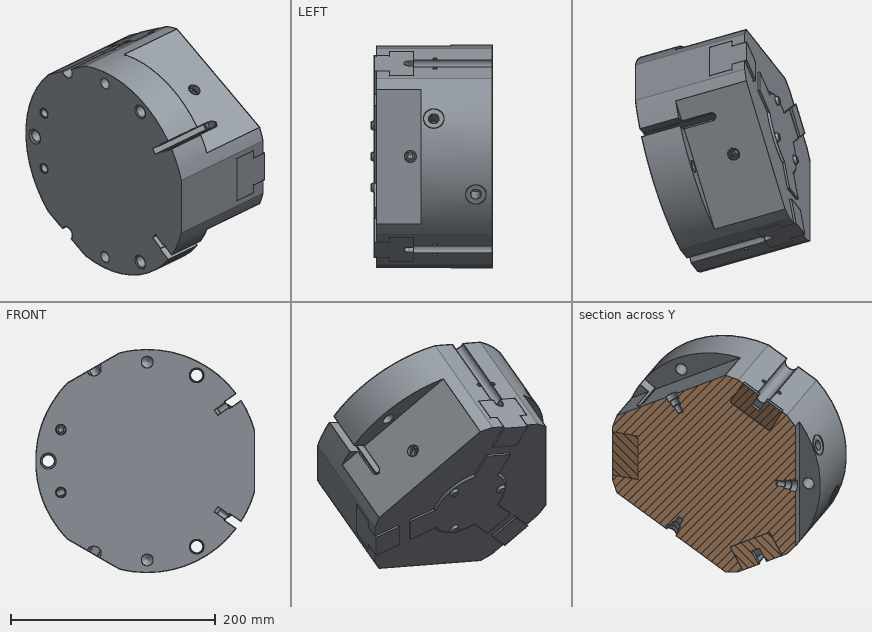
import cadquery as cq
import math


body_radius = 109.0
body_length = 113.3
jaw_angles = (0, 120, 240)
jaw_flat_distance = 105.0
relief_angles = (60, 180, 300)
relief_flat_distance = 87.0
relief_start = {60: 40.2, 180: 69.8, 300: 40.2}

back_end = 115.4
plate_base_radius = 42.4
plate_top_radius = 40.0
arm_outer_end = 66.4
overall_length = 118.3
head_circle_radius = 35.0
head_base_diameter = 10.0
head_top_diameter = 6.6

jaw_inner_end = 78.5
neck_width = 30.0
flange_width = 47.0
flange_start = 77.0
flange_end = 100.2

groove_angles = (120, 240)
groove_radius = 6.9
groove_center_depth = 1.0
jaw_slot_width = 9.3
jaw_slot_end = 86.2
jaw_slot_depth = 15.0
side_hole_diameter = 4.0
side_hole_spacing = 18.1
side_hole_y = 56.0
side_hole_depth = 6.0

through_circle_radius = 96.6
through_diameter = 12.0
through_chamfer = {60: 1.2, 180: 1.8, 300: 1.2}
blind_hole_angles = (90, 270)
blind_hole_diameter = 11.5
blind_hole_depth = 20.0
drill_tip_angle = 118.0
front_port_circle_radius = 89.7
front_port_diameter = 10.2
front_port_bore_depth = 1.0
relief_port_diameter = 11.6
relief_port_bore_depth = 6.0
relief_port_y = 80.0
relief_port_core_depth = 20.0
port_thread_diameter = 8.6
port_thread_depth = 12.0
port_core_diameter = 5.4

air_ports = ((160, 57.2), (200, 16.1))
spotface_diameter = 20.0
spotface_distance = 108.0
air_hole_diameter = 10.0
air_hole_depth = 22.0

sensor_angles = (35, -35)
slot_round_center_y = 70.0
wide_slot_width = 8.4
wide_slot_inner = 95.5
narrow_slot_width = 6.2
narrow_slot_inner = 85.6
tail_inner = 82.1

cut_margin = 5.0
outside_radius = body_radius + cut_margin


def turn(shape, angle):
    """Rotate a shape built along +X to its angle about Y."""
    return shape.rotate((0, 0, 0), (0, 1, 0), -angle)


def radial_block(r_inner, r_outer, width, y_start, y_end):
    """Block along +X, centred on z = 0."""
    size = (r_outer - r_inner, y_end - y_start, width)
    return cq.Workplane("XY").box(*size, centered=(False, False, True)).translate((r_inner, y_start, 0))


def cylinder_y(diameter, y_start, y_end):
    """Cylinder along Y, on the main axis."""
    return cq.Workplane("XZ", origin=(0, y_start, 0)).circle(diameter / 2).extrude(y_start - y_end)


def cylinder_x(diameter, x_start, x_end, y):
    """Cylinder along X, at a height y."""
    return cq.Workplane("YZ", origin=(x_start, y, 0)).circle(diameter / 2).extrude(x_end - x_start)


def cone_y(start_diameter, end_diameter, y_start, y_end):
    """Cone or truncated cone along Y, on the main axis."""
    return cq.Workplane(cq.Solid.makeCone(start_diameter / 2, end_diameter / 2, y_end - y_start,
                                          cq.Vector(0, y_start, 0), cq.Vector(0, 1, 0)))


def stepped_port(bore_diameter, bore_depth, core_depth):
    """Threaded port cutter along +Y from y = 0, narrowing in three steps."""
    port = cylinder_y(bore_diameter, 0, bore_depth)
    port = port.union(cylinder_y(port_thread_diameter, 0, port_thread_depth))
    return port.union(cylinder_y(port_core_diameter, 0, core_depth))


def jaw_blank():
    """T-shaped jaw along +X."""
    flange = radial_block(jaw_inner_end, jaw_flat_distance, flange_width, flange_start, flange_end)
    neck = radial_block(jaw_inner_end, jaw_flat_distance, neck_width, flange_end, back_end)
    return flange.union(neck)


def make_jaw(angle):
    """One jaw in place, with a cable slot where a groove leads up to it."""
    jaw = jaw_blank()
    if angle in groove_angles:
        jaw = jaw.cut(round_ended_slot(jaw_flat_distance - jaw_slot_depth, jaw_slot_width,
                                       jaw_slot_end - jaw_slot_width / 2))
    return turn(jaw, angle)


def round_ended_slot(r_inner, width, center_y):
    """Radial slot from the front face, with a half-round end about y = center_y."""
    slot = radial_block(r_inner, outside_radius, width, 0, center_y)
    return slot.union(cylinder_x(width, r_inner, outside_radius, center_y))


def cut_jaw_flats(housing):
    """Full-length flats that the jaws end on."""
    flat = radial_block(jaw_flat_distance, outside_radius, 2 * body_radius, 0, body_length)
    for angle in jaw_angles:
        housing = housing.cut(turn(flat, angle))
    return housing


def cut_reliefs(housing):
    """Flats behind the three through holes."""
    for angle in relief_angles:
        relief = radial_block(relief_flat_distance, outside_radius, 2 * body_radius,
                              relief_start[angle], body_length)
        housing = housing.cut(turn(relief, angle))
    return housing


def add_back_plate(housing):
    """Raised disc with its arms, and the three screw heads between the jaws."""
    disc = cone_y(2 * plate_base_radius, 2 * plate_top_radius, body_length, back_end)
    housing = housing.union(disc)

    arm = radial_block(0, arm_outer_end, neck_width, body_length, back_end)
    for angle in jaw_angles:
        housing = housing.union(turn(arm, angle))

    head_foot = cylinder_y(head_base_diameter, body_length, back_end)
    head = head_foot.union(cone_y(head_base_diameter, head_top_diameter, back_end, overall_length))
    head = head.translate((head_circle_radius, 0, 0))
    for angle in relief_angles:
        housing = housing.union(turn(head, angle))
    return housing


def cut_jaw_guides(housing):
    """Recesses that fit the jaws."""
    for angle in jaw_angles:
        housing = housing.cut(turn(jaw_blank(), angle))
    return housing


def cut_cable_grooves(housing):
    """Round-bottomed grooves below two of the jaws, with a small hole on either side."""
    groove_center = jaw_flat_distance - groove_center_depth
    groove_bottom = cylinder_y(2 * groove_radius, 0, flange_start).translate((groove_center, 0, 0))
    cutter = radial_block(groove_center, outside_radius, 2 * groove_radius, 0, flange_start)
    cutter = cutter.union(groove_bottom)
    hole = cylinder_x(side_hole_diameter, jaw_flat_distance - side_hole_depth, outside_radius, side_hole_y)
    for side in (-1, 1):
        cutter = cutter.union(hole.translate((0, 0, side * side_hole_spacing / 2)))
    for angle in groove_angles:
        housing = housing.cut(turn(cutter, angle))
    return housing


def cut_front_holes(housing):
    """Through holes, blind holes and threaded ports in the front face."""
    for angle in relief_angles:
        chamfer = through_chamfer[angle]
        mouth = cone_y(through_diameter + 2 * chamfer, through_diameter, 0, chamfer)
        hole = cylinder_y(through_diameter, 0, body_length).union(mouth)
        housing = housing.cut(turn(hole.translate((through_circle_radius, 0, 0)), angle))

    tip_length = blind_hole_diameter / 2 / math.tan(math.radians(drill_tip_angle / 2))
    tip = cone_y(blind_hole_diameter, 0, blind_hole_depth, blind_hole_depth + tip_length)
    blind_hole = cylinder_y(blind_hole_diameter, 0, blind_hole_depth).union(tip)
    for angle in blind_hole_angles:
        housing = housing.cut(turn(blind_hole.translate((through_circle_radius, 0, 0)), angle))

    for angle, air_hole_y in air_ports:
        port = stepped_port(front_port_diameter, front_port_bore_depth, air_hole_y)
        housing = housing.cut(turn(port.translate((front_port_circle_radius, 0, 0)), angle))
    return housing


def cut_relief_ports(housing):
    """Threaded port in the middle of each relief flat."""
    port = stepped_port(relief_port_diameter, relief_port_bore_depth, relief_port_core_depth)
    port = port.rotate((0, 0, 0), (0, 0, 1), 90)
    port = port.translate((relief_flat_distance, relief_port_y, 0))
    for angle in relief_angles:
        housing = housing.cut(turn(port, angle))
    return housing


def cut_air_ports(housing):
    """Spotfaced radial holes in the cylinder."""
    for angle, y in air_ports:
        spotface = cylinder_x(spotface_diameter, spotface_distance, outside_radius, y)
        hole = cylinder_x(air_hole_diameter, spotface_distance - air_hole_depth, outside_radius, y)
        housing = housing.cut(turn(spotface.union(hole), angle))
    return housing


def cut_sensor_slots(housing):
    """Radial slots, wide at the rim and narrow inside, with a square-ended tail."""
    slot = round_ended_slot(wide_slot_inner, wide_slot_width, slot_round_center_y)
    slot = slot.union(round_ended_slot(narrow_slot_inner, narrow_slot_width, slot_round_center_y))
    slot = slot.union(
        radial_block(tail_inner, narrow_slot_inner, narrow_slot_width, 0, slot_round_center_y))
    for angle in sensor_angles:
        housing = housing.cut(turn(slot, angle))
    return housing


def make_housing():
    housing = cylinder_y(2 * body_radius, 0, body_length)
    housing = cut_jaw_flats(housing)
    housing = cut_reliefs(housing)
    housing = add_back_plate(housing)
    housing = cut_jaw_guides(housing)
    housing = cut_cable_grooves(housing)
    housing = cut_front_holes(housing)
    housing = cut_relief_ports(housing)
    housing = cut_air_ports(housing)
    return cut_sensor_slots(housing)


housing = make_housing()
jaws = [make_jaw(angle) for angle in jaw_angles]

result = cq.Compound.makeCompound([housing.val(), *[jaw.val() for jaw in jaws]])